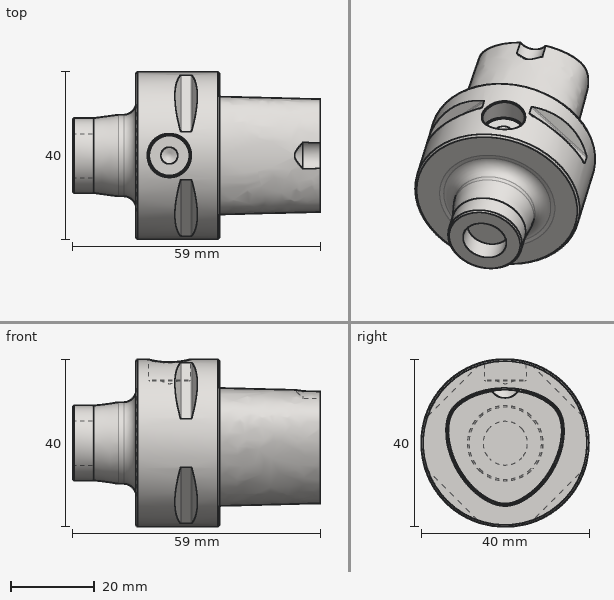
import math

import cadquery as cq


flange_diameter = 40.0
flange_width = 20.0
flange_chamfer = 0.5

nose_diameter = 18.0
nose_length = 15.0
nose_land_length = 5.0
nose_chamfer = 0.4
step_depth = 0.05
step_length = 0.2
neck_diameter = 19.5
neck_taper_length = 5.9
neck_length = 1.2
root_radius = 3.0
root_relief_inner_diameter = 26.0
root_relief_outer_diameter = 28.0
bore_diameter = 10.5
bore_depth = 5.0

shank_length = 24.0
shank_width = 28.15
shank_eccentricity = 0.95
shank_taper = 1 / 20
shank_curve_points = 72

notch_width = 6.0
notch_radius = 3.75
notch_length = 4.2
notch_tip_half_angle = 45.0

slot_count = 4
slot_offset = 8.0
slot_floor_width = 2.6
slot_floor_distance = 17.6
slot_wall_angle = 30.0
slot_corner_size = 0.35

pocket_offset = 12.0
pocket_diameter = 10.0
pocket_depth = 5.2
pocket_chamfer = 0.25
dimple_diameter = 4.0
dimple_tip_angle = 140.0

flange_radius = flange_diameter / 2
flange_front = -flange_width
nose_front = flange_front - nose_length


def make_turned_body():
    """Nose, root blend and flange, revolved about X."""
    nose_radius = nose_diameter / 2
    neck_radius = neck_diameter / 2
    relief_inner_radius = root_relief_inner_diameter / 2
    relief_outer_radius = root_relief_outer_diameter / 2

    land_end = nose_front + nose_land_length
    neck_start = land_end + neck_taper_length
    root_start = neck_start + neck_length

    past_square = math.asin((relief_inner_radius - neck_radius) / root_radius - 1)
    root_end = root_start + root_radius * math.cos(past_square)
    mid_turn = math.pi / 4
    root_middle = (
        root_start + root_radius * math.sin(mid_turn),
        neck_radius + root_radius * (1 - math.cos(mid_turn)),
    )

    profile = (
        cq.Workplane("XY")
        .moveTo(nose_front, 0)
        .lineTo(nose_front, nose_radius - nose_chamfer)
        .lineTo(nose_front + nose_chamfer, nose_radius)
        .lineTo(land_end - step_length, nose_radius)
        .lineTo(land_end, nose_radius - step_depth)
        .lineTo(neck_start, neck_radius)
        .lineTo(root_start, neck_radius)
        .threePointArc(root_middle, (root_end, relief_inner_radius))
        .lineTo(flange_front, relief_outer_radius)
        .lineTo(flange_front, flange_radius - flange_chamfer)
        .lineTo(flange_front + flange_chamfer, flange_radius)
        .lineTo(-flange_chamfer, flange_radius)
        .lineTo(0, flange_radius - flange_chamfer)
        .lineTo(0, 0)
        .close()
    )
    return profile.revolve(360, (0, 0, 0), (1, 0, 0))


def polygon_point(angle, width):
    """Point of the constant-width curve, with one lobe pointing to -Z."""
    support = width / 2 - shank_eccentricity * math.cos(3 * angle)
    slope = 3 * shank_eccentricity * math.sin(3 * angle)
    towards_flat = support * math.cos(angle) - slope * math.sin(angle)
    sideways = support * math.sin(angle) + slope * math.cos(angle)
    return sideways, towards_flat


def polygon_points(width):
    step = 2 * math.pi / shank_curve_points
    return [polygon_point(i * step, width) for i in range(shank_curve_points)]


def make_shank():
    end_width = shank_width - shank_length * shank_taper
    return (
        cq.Workplane("YZ")
        .spline(polygon_points(shank_width), periodic=True)
        .close()
        .workplane(offset=shank_length)
        .spline(polygon_points(end_width), periodic=True)
        .close()
        .loft(ruled=True, combine=True)
    )


def make_bore():
    return cq.Workplane("YZ", origin=(nose_front, 0, 0)).circle(bore_diameter / 2).extrude(bore_depth)


def make_notch():
    """Channel along X, about notch_width wide where it breaks the shank end."""
    end_width = shank_width - shank_length * shank_taper
    half_width = notch_width / 2
    rim_height = min(
        (point for point in polygon_points(end_width) if point[1] > 0),
        key=lambda point: abs(point[0] - half_width),
    )[1]
    axis_height = rim_height + math.sqrt(notch_radius**2 - half_width**2)
    notch_start = shank_length - notch_length
    tip_length = notch_radius / math.tan(math.radians(notch_tip_half_angle))
    return (
        cq.Workplane("XZ", origin=(0, 0, axis_height))
        .moveTo(notch_start - tip_length, 0)
        .lineTo(notch_start, -notch_radius)
        .lineTo(shank_length, -notch_radius)
        .lineTo(shank_length, 0)
        .close()
        .revolve(360, (0, 0, 0), (1, 0, 0))
    )


def make_gripper_slot():
    """Straight slot across the top of the flange with sloping walls and small floor corners."""
    half_floor = slot_floor_width / 2
    wall_run = (flange_radius - slot_floor_distance) * math.tan(math.radians(slot_wall_angle))
    return (
        cq.Workplane("XZ", origin=(-slot_offset, 0, 0))
        .moveTo(-half_floor - wall_run, flange_radius)
        .lineTo(-half_floor, slot_floor_distance)
        .lineTo(half_floor, slot_floor_distance)
        .lineTo(half_floor + wall_run, flange_radius)
        .close()
        .extrude(flange_radius, both=True)
        .edges("|Y and <Z")
        .fillet(slot_corner_size)
    )


def cut_gripper_slots(body):
    slot = make_gripper_slot()
    spacing = 360 / slot_count
    for i in range(slot_count):
        body = body.cut(slot.rotate((0, 0, 0), (1, 0, 0), spacing * (i + 0.5)))
    return body


def make_pocket():
    """Round pocket with a chamfered floor edge and a conical dimple in its middle."""
    floor_height = flange_radius - pocket_depth
    pocket_radius = pocket_diameter / 2
    dimple_radius = dimple_diameter / 2
    dimple_depth = dimple_radius / math.tan(math.radians(dimple_tip_angle / 2))
    return (
        cq.Workplane("XZ", origin=(-pocket_offset, 0, 0))
        .moveTo(0, floor_height - dimple_depth)
        .lineTo(dimple_radius, floor_height)
        .lineTo(pocket_radius - pocket_chamfer, floor_height)
        .lineTo(pocket_radius, floor_height + pocket_chamfer)
        .lineTo(pocket_radius, flange_radius)
        .lineTo(0, flange_radius)
        .close()
        .revolve(360, (0, 0, 0), (0, 1, 0))
    )


def cut_pocket(body):
    """Cut the pocket and chamfer its rim along the curved flange surface."""
    reach = pocket_diameter / 2 + pocket_chamfer
    rim_zone = cq.selectors.BoxSelector(
        (-pocket_offset - reach, -reach, flange_radius - pocket_depth / 2),
        (-pocket_offset + reach, reach, flange_radius + pocket_depth / 2),
    )
    return body.cut(make_pocket()).edges(rim_zone).chamfer(pocket_chamfer)


flange_and_nose = cut_pocket(make_turned_body().cut(make_bore()))
flange_and_nose = cut_gripper_slots(flange_and_nose)
result = flange_and_nose.union(make_shank().cut(make_notch()))